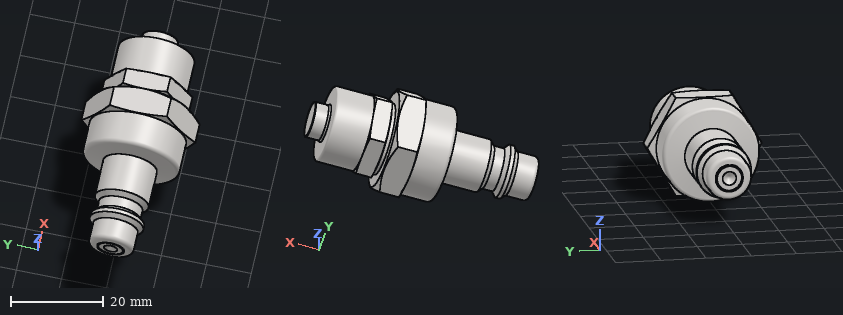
import cadquery as cq
import math

LENGTH = 51.0
COLLAR_START = 5.0
COLLAR_CREST_START = 6.0
COLLAR_CREST_END = 7.0
GROOVE_START = 8.0
GROOVE_END = 10.35
SHANK_START = 11.4
BODY_START = 20.0
BODY_RIM = 20.5
BIG_HEX_START = 28.0
BIG_HEX_END = 34.0
SMALL_HEX_START = 35.0
SMALL_HEX_END = 39.0
SLEEVE_END = 47.5
TUBE_START = 48.0

TIP_DIAMETER = 10.0
SHANK_DIAMETER = 12.0
GROOVE_DIAMETER = 9.75
BODY_DIAMETER = 21.5
NECK_DIAMETER = 16.0
SLEEVE_DIAMETER = 17.0
TUBE_ROOT_DIAMETER = 8.5
TUBE_DIAMETER = 8.0

TIP_FILLET = 1.0
BODY_FILLET = 1.0
SLEEVE_FILLET = 0.5
TUBE_CHAMFER = 0.15

BIG_HEX_FLATS = 22.0
SMALL_HEX_FLATS = SLEEVE_DIAMETER
SHALLOW_BEVEL = 15.0
STEEP_BEVEL = 30.0
SMALL_HEX_BACK_BEVEL = 7.0

VALVE_BORE_DIAMETER = 6.0
VALVE_PIN_DIAMETER = 5.6
VALVE_PIN_FACE_DIAMETER = 5.45
VALVE_GAP_DEPTH = 0.5
DIMPLE_DIAMETER = 3.0
DIMPLE_ANGLE = 118.0


def revolve_about_x(sketch):
    return sketch.close().revolve(360, (0, 0, 0), (1, 0, 0))


def turned_body():
    """Revolved profile of everything except the two hexagons."""
    tip = TIP_DIAMETER / 2
    shank = SHANK_DIAMETER / 2
    groove = GROOVE_DIAMETER / 2
    body = BODY_DIAMETER / 2
    neck = NECK_DIAMETER / 2
    sleeve = SLEEVE_DIAMETER / 2
    tube = TUBE_DIAMETER / 2
    diagonal = 1 - math.sqrt(0.5)
    profile = (
        cq.Workplane("XY")
        .lineTo(0, tip - TIP_FILLET)
        .threePointArc((diagonal * TIP_FILLET, tip - diagonal * TIP_FILLET), (TIP_FILLET, tip))
        .lineTo(COLLAR_START, tip)
        .lineTo(COLLAR_CREST_START, shank)
        .lineTo(COLLAR_CREST_END, shank)
        .lineTo(GROOVE_START, groove)
        .lineTo(GROOVE_END, groove)
        .lineTo(SHANK_START, shank)
        .lineTo(BODY_START, shank)
        .lineTo(BODY_RIM, body - BODY_FILLET)
        .threePointArc(
            (BODY_RIM + diagonal * BODY_FILLET, body - diagonal * BODY_FILLET),
            (BODY_RIM + BODY_FILLET, body),
        )
        .lineTo(BIG_HEX_START, body)
        .lineTo(BIG_HEX_START, neck)
        .lineTo(SMALL_HEX_START, neck)
        .lineTo(SMALL_HEX_START, sleeve)
        .lineTo(SLEEVE_END - SLEEVE_FILLET, sleeve)
        .threePointArc(
            (SLEEVE_END - diagonal * SLEEVE_FILLET, sleeve - diagonal * SLEEVE_FILLET),
            (SLEEVE_END, sleeve - SLEEVE_FILLET),
        )
        .lineTo(SLEEVE_END, TUBE_ROOT_DIAMETER / 2)
        .lineTo(TUBE_START, tube)
        .lineTo(LENGTH - TUBE_CHAMFER, tube)
        .lineTo(LENGTH, tube - TUBE_CHAMFER)
        .lineTo(LENGTH, 0)
    )
    return revolve_about_x(profile)


def beveled_hex(start, end, across_flats, face_diameter, front_bevel, back_bevel):
    """Hexagonal prism along X whose corners are turned down by a cone at each end."""
    corner = across_flats / 2 / math.cos(math.radians(30))
    face = face_diameter / 2
    front = (corner - face) * math.tan(math.radians(front_bevel))
    back = (corner - face) * math.tan(math.radians(back_bevel))
    prism = cq.Workplane("YZ", origin=(start, 0, 0)).polygon(6, 2 * corner).extrude(end - start)
    envelope = revolve_about_x(
        cq.Workplane("XY")
        .moveTo(start, 0)
        .lineTo(start, face)
        .lineTo(start + front, corner)
        .lineTo(end - back, corner)
        .lineTo(end, face)
        .lineTo(end, 0)
    )
    return prism.intersect(envelope)


def valve_gap():
    """Narrow ring between the tip bore and the valve pin, whose rim is chamfered."""
    bore = VALVE_BORE_DIAMETER / 2
    pin = VALVE_PIN_DIAMETER / 2
    pin_face = VALVE_PIN_FACE_DIAMETER / 2
    chamfer = pin - pin_face
    return revolve_about_x(
        cq.Workplane("XY")
        .moveTo(0, pin_face)
        .lineTo(chamfer, pin)
        .lineTo(VALVE_GAP_DEPTH, pin)
        .lineTo(VALVE_GAP_DEPTH, bore)
        .lineTo(0, bore)
    )


def pin_dimple():
    """Conical dimple in the face of the valve pin."""
    radius = DIMPLE_DIAMETER / 2
    depth = radius / math.tan(math.radians(DIMPLE_ANGLE / 2))
    return revolve_about_x(cq.Workplane("XY").lineTo(0, radius).lineTo(depth, 0))


big_hex = beveled_hex(
    BIG_HEX_START, BIG_HEX_END, BIG_HEX_FLATS, BODY_DIAMETER, SHALLOW_BEVEL, STEEP_BEVEL
)
small_hex = beveled_hex(
    SMALL_HEX_START, SMALL_HEX_END, SMALL_HEX_FLATS, SLEEVE_DIAMETER, SHALLOW_BEVEL, SMALL_HEX_BACK_BEVEL
)
result = turned_body().union(big_hex).union(small_hex).cut(valve_gap()).cut(pin_dimple())